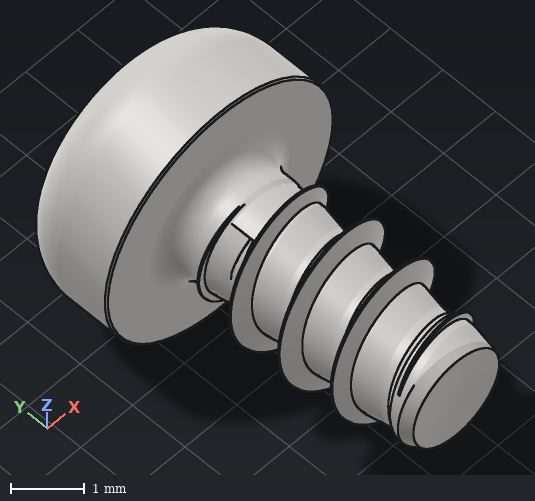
import cadquery as cq
import math


head_radius = 2.2
head_height = 1.9
head_dome_radius = head_height / 2
head_edge_chamfer = 0.03

shank_length = 4.5
neck_radius = 0.95
neck_fillet = 0.4
neck_end = 0.6
core_radius = 0.855
core_start = 1.0
tip_radius = 0.83
tip_rim_width = 0.03
tip_dimple_depth = 0.05
tip_taper_slope = 0.5
tip_allowance = 0.2

pitch = 0.95
crest_depth_at_zero = 1.17
crest_radius = 1.25
crest_half_width = 0.015
buried_radius = 0.7
foot_top_radius = 0.98
foot_top_reach = 0.12
foot_toe_reach = 0.37
flank_toe_reach = 0.22
root_radius = 0.93
root_start = 0.5
ramp_top_radius = 0.96
ramp_top_reach = 0
ramp_foot_reach = 0.6
rise_foot_reach = 0.75
rise_top_reach = 0.9
clearance_radius = 1.1
groove_start = -330
groove_end = 1400
fin_radius = 0.96
fin_thickness = 0.03
fin_offset_x = -0.09
fin_offset_z = -0.03
lead_in_start = -240
lead_in_end = 115
lead_in_radius = 1.01
run_out_start = 730
run_out_end = 1150
run_out_radius = 0.92
section_step = 30

screw_frame = cq.Plane(origin=(0, 0, 0), xDir=(0, 0, 1), normal=(0, -1, 0))


def make_head_and_neck():
    """Head, neck and the cone down to the core, as one revolved half profile of (radius, Y) points."""
    arc_fraction = math.sqrt(0.5)
    dome_center = (head_radius - head_dome_radius, head_height - head_dome_radius)
    dome_middle = tuple(c + head_dome_radius * arc_fraction for c in dome_center)
    fillet_center = (neck_radius + neck_fillet, -neck_fillet)
    fillet_middle = (
        fillet_center[0] - neck_fillet * arc_fraction,
        fillet_center[1] + neck_fillet * arc_fraction,
    )
    return (
        cq.Workplane("XY")
        .moveTo(0, head_height)
        .lineTo(dome_center[0], head_height)
        .threePointArc(dome_middle, (head_radius, dome_center[1]))
        .lineTo(head_radius, head_edge_chamfer)
        .lineTo(head_radius - head_edge_chamfer, 0)
        .lineTo(fillet_center[0], 0)
        .threePointArc(fillet_middle, (neck_radius, -neck_fillet))
        .lineTo(neck_radius, -neck_end)
        .lineTo(core_radius, -core_start)
        .lineTo(0, -core_start)
        .close()
        .revolve(360, (0, 0, 0), (0, 1, 0))
    )


def make_tip_cutter():
    """Everything beyond the tip: the shallow dimple, the flat rim and the taper around it."""
    reach = 2 * crest_radius
    taper_length = (reach - tip_radius) / tip_taper_slope
    return (
        cq.Workplane("XY")
        .moveTo(0, tip_dimple_depth - shank_length)
        .lineTo(tip_radius - tip_rim_width, -shank_length)
        .lineTo(tip_radius, -shank_length)
        .lineTo(reach, taper_length - shank_length)
        .lineTo(reach, -shank_length - pitch)
        .lineTo(0, -shank_length - pitch)
        .close()
        .revolve(360, (0, 0, 0), (0, 1, 0))
    )


def crest_radius_at(angle):
    """Crest radius: rises along the lead-in, stays constant, then falls along the run-out."""
    if angle < lead_in_end:
        progress = (angle - lead_in_start) / (lead_in_end - lead_in_start)
        return lead_in_radius + progress * (crest_radius - lead_in_radius)
    if angle > run_out_start:
        progress = (angle - run_out_start) / (run_out_end - run_out_start)
        return crest_radius + progress * (run_out_radius - crest_radius)
    return crest_radius


def helical_loft(profile_at, start, end):
    """Loft a radial profile of (radius, offset toward the tip) points along the thread helix."""
    count = math.ceil((end - start) / section_step)
    sections = []
    for i in range(count + 1):
        angle = start + (end - start) * i / count
        turn = math.radians(angle)
        depth = crest_depth_at_zero + pitch * angle / 360
        points = [
            screw_frame.toWorldCoords((r * math.cos(turn), r * math.sin(turn), depth + offset))
            for r, offset in profile_at(angle)
        ]
        sections.append(cq.Wire.makePolygon(points, close=True))
    return cq.Workplane(obj=cq.Solid.makeLoft(sections))


def ridge_profile(angle):
    """Thin crest with steep flanks and a sloping foot on the head side, all sunk as the crest falls."""
    sink = crest_radius - crest_radius_at(angle)
    full_profile = [
        (buried_radius, -foot_toe_reach),
        (foot_top_radius, -foot_top_reach),
        (crest_radius, -crest_half_width),
        (crest_radius, crest_half_width),
        (buried_radius, flank_toe_reach),
    ]
    return [(r - sink, offset) for r, offset in full_profile]


def groove_profile(angle):
    """Space between ridges: the core floor, the long ramp up to one ridge and the short rise to the next."""
    return [
        (clearance_radius, ramp_top_reach),
        (ramp_top_radius, ramp_top_reach),
        (core_radius, ramp_foot_reach),
        (core_radius, rise_foot_reach),
        (ramp_top_radius, rise_top_reach),
        (clearance_radius, rise_top_reach),
    ]


def make_root():
    """Cylinder under the ridge with a shallow helical groove that leaves the core between the ridges."""
    cylinder = (
        cq.Workplane(screw_frame)
        .workplane(offset=root_start)
        .circle(root_radius)
        .extrude(shank_length + tip_allowance - root_start)
    )
    return cylinder.cut(helical_loft(groove_profile, groove_start, groove_end))


def make_lead_in_fin():
    """Thin eccentric disc at the end of the neck, standing out where the ridge begins."""
    return (
        cq.Workplane(screw_frame)
        .workplane(offset=neck_end)
        .center(fin_offset_z, -fin_offset_x)
        .circle(fin_radius)
        .extrude(fin_thickness)
    )


def make_ridge():
    """Thread ridge with its start faced off inside the lead-in fin."""
    start_depth = neck_end + fin_thickness / 2
    neck_block = cq.Workplane(screw_frame).circle(2 * crest_radius).extrude(start_depth)
    return helical_loft(ridge_profile, lead_in_start, run_out_end).cut(neck_block)


head = make_head_and_neck().union(make_lead_in_fin())
threaded_shank = make_root().cut(make_tip_cutter()).union(make_ridge())
result = threaded_shank.union(head)